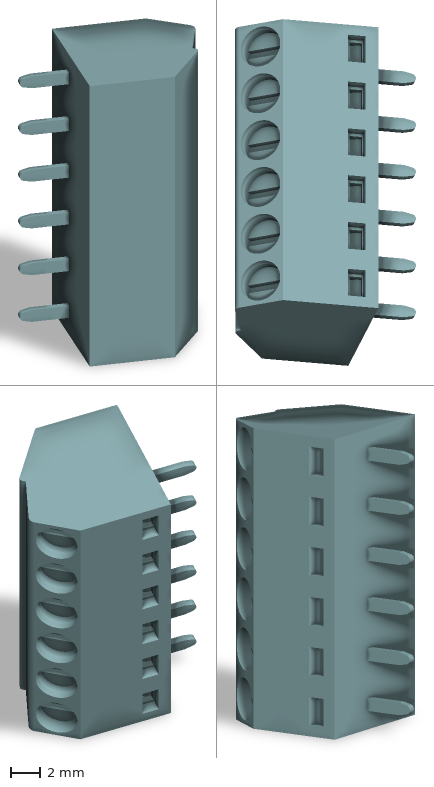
import cadquery as cq
import math

body_width = 10.0
body_length = 21.0
pole_count = 6
pole_pitch = body_length / pole_count

screw_side_height = 6.65
wire_side_height = 6.03
peak_start = (1.9, 9.32)
peak_crest = (2.27, 9.51)
peak_end = (2.52, 9.47)
notch_root = (5.63, 8.45)
notch_lip = (5.82, 8.7)
nose_start = (5.92, 8.74)
nose_end = (6.15, 8.7)

slope_run, slope_rise = peak_start[0], peak_start[1] - screw_side_height
slope_length = math.hypot(slope_run, slope_rise)
slope_inward = (slope_rise / slope_length, -slope_run / slope_length, 0)
well_center_y = 8.02
well_diameter = 2.95
well_depth = 1.05
rim_depth = 0.25
cone_depth = 0.23
head_diameter = 2.85
slot_width = 0.59
slot_depth = 0.46

window_bottom = 0.9
window_top = 2.1
window_length = 2.0
window_depth = 0.8
recess_bottom = 0.97
recess_top = 1.85
recess_length = 1.6
recess_depth = 0.42
ramp_start = 1.25
ramp_angle = 26.0

pin_center_x = 4.3
pin_thickness = 0.5
pin_width = 0.88
pin_length = 3.49
taper_start = 2.65
taper_end = 3.21
tip_width = 0.63


def make_body():
    return (
        cq.Workplane("XY")
        .moveTo(0, 0)
        .lineTo(0, screw_side_height)
        .lineTo(*peak_start)
        .threePointArc(peak_crest, peak_end)
        .lineTo(*notch_root)
        .lineTo(*notch_lip)
        .lineTo(*nose_start)
        .lineTo(*nose_end)
        .lineTo(body_width, wire_side_height)
        .lineTo(body_width, 0)
        .close()
        .extrude(body_length)
    )


def make_screw_well(z):
    """Round well narrowing through a cone to a screw head with a driver slot along the slope."""
    center_x = (well_center_y - screw_side_height) * slope_run / slope_rise
    face = cq.Plane(
        origin=(center_x, well_center_y, z),
        xDir=(slope_run, slope_rise, 0),
        normal=slope_inward,
    )
    cone_end = rim_depth + cone_depth
    slot_end = well_depth + slot_depth
    rim = cq.Workplane(face).circle(well_diameter / 2).extrude(rim_depth)
    cone = (
        cq.Workplane(face)
        .workplane(offset=rim_depth)
        .circle(well_diameter / 2)
        .workplane(offset=cone_depth)
        .circle(head_diameter / 2)
        .loft()
    )
    bore = (
        cq.Workplane(face)
        .workplane(offset=cone_end)
        .circle(head_diameter / 2)
        .extrude(well_depth - cone_end)
    )
    slot = (
        cq.Workplane(face)
        .workplane(offset=well_depth)
        .rect(head_diameter, slot_width)
        .extrude(slot_depth)
        .intersect(cq.Workplane(face).circle(head_diameter / 2).extrude(slot_end))
    )
    return rim.union(cone).union(bore).union(slot)


def make_window(z):
    """Rectangular window with a smaller recess in its floor; the recess deepens along a ramp."""
    window = cq.Workplane("XY").box(
        window_depth, window_top - window_bottom, window_length, centered=(False, False, True)
    ).translate((0, window_bottom, z))
    shelf_x = window_depth + recess_depth
    ramp_x = shelf_x + (recess_top - ramp_start) * math.tan(math.radians(ramp_angle))
    recess = (
        cq.Workplane("XY", origin=(0, 0, z))
        .moveTo(0, recess_bottom)
        .lineTo(shelf_x, recess_bottom)
        .lineTo(shelf_x, ramp_start)
        .lineTo(ramp_x, recess_top)
        .lineTo(0, recess_top)
        .close()
        .extrude(recess_length / 2, both=True)
    )
    return window.union(recess)


def make_pin(z):
    """Flat pin along -Y, tapered in Z to a rounded tip."""
    return (
        cq.Workplane("YZ", origin=(pin_center_x, 0, z))
        .moveTo(0, -pin_width / 2)
        .lineTo(-taper_start, -pin_width / 2)
        .lineTo(-taper_end, -tip_width / 2)
        .threePointArc((-pin_length, 0), (-taper_end, tip_width / 2))
        .lineTo(-taper_start, pin_width / 2)
        .lineTo(0, pin_width / 2)
        .close()
        .extrude(pin_thickness / 2, both=True)
    )


result = make_body()
for pole in range(pole_count):
    pole_z = (pole + 0.5) * pole_pitch
    result = result.cut(make_screw_well(pole_z))
    result = result.cut(make_window(pole_z))
    result = result.union(make_pin(pole_z))